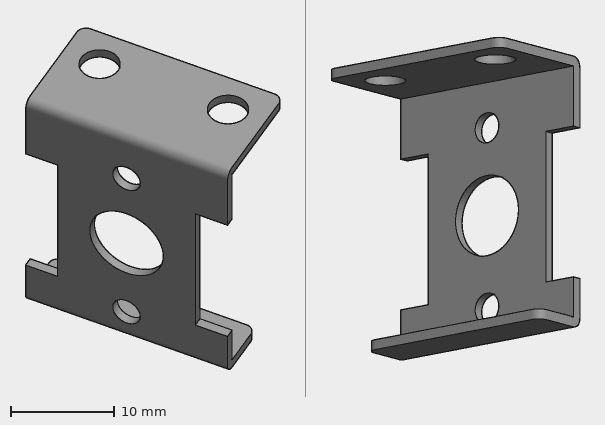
import cadquery as cq

width = 22.0
height = 27.0
top_flange_length = 12.0
bottom_flange_length = 6.0
thickness = 1.0
bend_radius = thickness
corner_radius = 1.0

notch_depth = 3.5
notch_bottom = 5.0
notch_height = 15.0

bore_diameter = 8.0
bore_height = 12.75
screw_diameter = 3.0
screw_spacing = 17.98
screw_mid_height = notch_bottom + notch_height / 2

mount_diameter = 4.0
mount_spacing = 13.99
mount_setback = 4.0


def make_flange(length, bottom):
    """Flat flange with its two free corners rounded."""
    flange = cq.Workplane("XY").box(width, length, thickness, centered=(True, False, False))
    return flange.edges("|Z and >Y").fillet(corner_radius).translate((0, 0, bottom))


def make_bracket():
    """Web and two flanges, with rounded outer bends."""
    web = cq.Workplane("XY").box(width, thickness, height, centered=(True, False, False))
    top = make_flange(top_flange_length, height - thickness)
    bottom = make_flange(bottom_flange_length, 0)
    envelope = (
        cq.Workplane("XY")
        .box(width, top_flange_length, height, centered=(True, False, False))
        .edges("|X and <Y")
        .fillet(bend_radius)
    )
    return web.union(top).union(bottom).intersect(envelope)


def make_notches():
    """Rectangular cutters for the two sides of the web."""
    return (
        cq.Workplane("XY", origin=(0, 0, notch_bottom))
        .pushPoints([(-width / 2, 0), (width / 2, 0)])
        .rect(2 * notch_depth, 2 * thickness)
        .extrude(notch_height)
    )


def web_hole(diameter, z):
    """Cutter along +Y through the web."""
    return cq.Workplane("XZ").center(0, z).circle(diameter / 2).extrude(-thickness)


def make_mount_holes():
    """Cutters through the top flange."""
    y = top_flange_length - mount_setback
    return (
        cq.Workplane("XY", origin=(0, 0, height - thickness))
        .pushPoints([(-mount_spacing / 2, y), (mount_spacing / 2, y)])
        .circle(mount_diameter / 2)
        .extrude(thickness)
    )


result = make_bracket().cut(make_notches()).cut(make_mount_holes())
result = result.cut(web_hole(bore_diameter, bore_height))
for side in (-1, 1):
    result = result.cut(web_hole(screw_diameter, screw_mid_height + side * screw_spacing / 2))